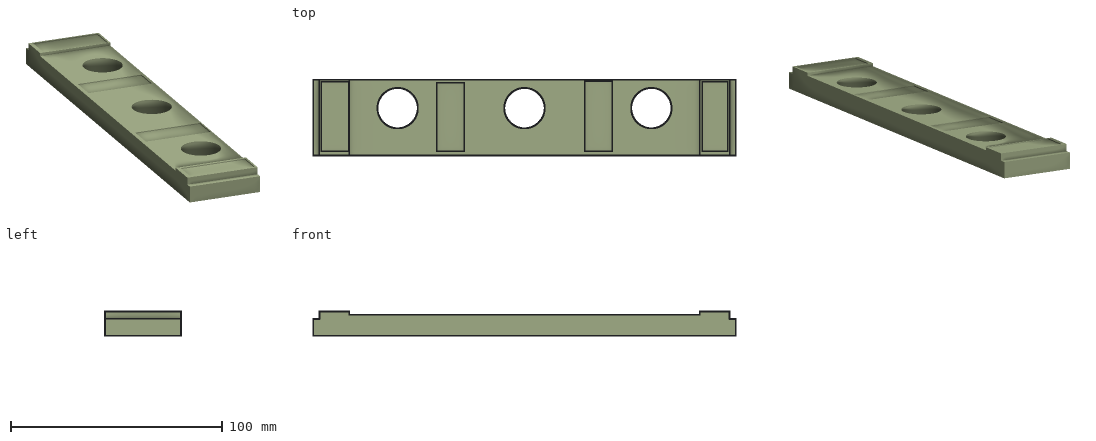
import cadquery as cq

length = 200.0
width = 36.0
height = 11.5
deck_height = 10.0

shoulder_length = 3.0
shoulder_height = 8.0
raised_end_length = 14.2

hole_diameter = 19.0
hole_spacing = 60.0
hole_y = 4.5

recess_depth = 0.5
front_margin = 2.0
end_back_margin = 1.0
end_recess_inset = 0.9
left_end_recess_length = 13.0
right_end_recess_length = 12.0
deck_recess_length = 13.0
deck_recess_offset = 35.0
left_deck_back_margin = 1.4
right_deck_back_margin = 0.75

raised_outer_x = length / 2 - shoulder_length
raised_inner_x = raised_outer_x - raised_end_length


def make_bar():
    """Bar with a shoulder and a raised land at each end."""
    right_half = [
        (0, 0),
        (length / 2, 0),
        (length / 2, shoulder_height),
        (raised_outer_x, shoulder_height),
        (raised_outer_x, height),
        (raised_inner_x, height),
        (raised_inner_x, deck_height),
        (0, deck_height),
    ]
    half = cq.Workplane("XZ").polyline(right_half).close().extrude(width / 2, both=True)
    return half.union(half.mirror("YZ")).clean()


def make_recess(center_x, recess_length, back_margin, surface_height):
    """Cutter for one shallow recess sunk from the given surface."""
    front_y = -width / 2 + front_margin
    back_y = width / 2 - back_margin
    return (
        cq.Workplane("XY", origin=(center_x, (front_y + back_y) / 2, surface_height))
        .rect(recess_length, back_y - front_y)
        .extrude(-recess_depth)
    )


def drill_holes(bar):
    """Row of plain through holes, set back from the middle of the width."""
    centers = [(i * hole_spacing, hole_y) for i in (-1, 0, 1)]
    drills = cq.Workplane("XY").pushPoints(centers).circle(hole_diameter / 2).extrude(height)
    return bar.cut(drills)


def cut_recesses(bar):
    """One recess in each raised end and two in the deck."""
    end_edge_x = raised_outer_x - end_recess_inset
    left_end_x = -end_edge_x + left_end_recess_length / 2
    right_end_x = end_edge_x - right_end_recess_length / 2
    recesses = [
        (left_end_x, left_end_recess_length, end_back_margin, height),
        (-deck_recess_offset, deck_recess_length, left_deck_back_margin, deck_height),
        (deck_recess_offset, deck_recess_length, right_deck_back_margin, deck_height),
        (right_end_x, right_end_recess_length, end_back_margin, height),
    ]
    for recess in recesses:
        bar = bar.cut(make_recess(*recess))
    return bar


result = cut_recesses(drill_holes(make_bar()))